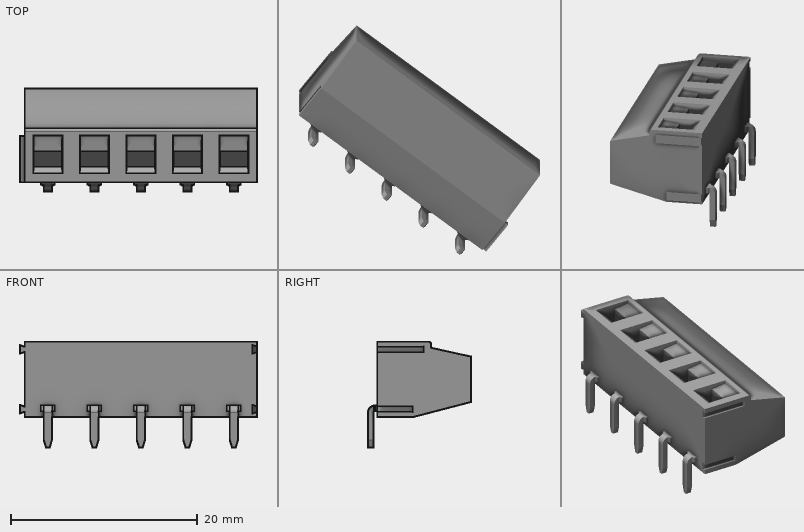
import cadquery as cq
import math


POLE_COUNT = 5
PITCH = 5.0
TOTAL_LENGTH = 25.5
TOTAL_DEPTH = 11.1
TOTAL_HEIGHT = 11.4
HOUSING_LENGTH = POLE_COUNT * PITCH
RAIL_DEPTH = TOTAL_LENGTH - HOUSING_LENGTH
POLE_CENTRES = [(i + 0.5) * PITCH for i in range(POLE_COUNT)]

HOUSING_DEPTH = 10.1
HOUSING_HEIGHT = 8.1
BASE_DEPTH = 3.93
REAR_BOTTOM = 1.6
REAR_TOP = 6.5
CROWN_DEPTH = 5.81
CROWN_FOOT = 7.45
CROWN_RADIUS = 0.3

RAIL_ROOT_WIDTH = 0.59
RAIL_TIP_WIDTH = 0.95
RAIL_EDGE_OFFSET = 0.85
LOWER_RAIL_LENGTH = 3.82
UPPER_RAIL_LENGTH = 5.0
RAILS = [
    (RAIL_EDGE_OFFSET, LOWER_RAIL_LENGTH),
    (HOUSING_HEIGHT - RAIL_EDGE_OFFSET, UPPER_RAIL_LENGTH),
]

MOUTH_WIDTH = 3.15
MOUTH_FRONT = 1.0
MOUTH_REAR = 5.07
MOUTH_DEPTH = 0.59
MOUTH_FLARE = 0.09
MOUTH_FRONT_SLOPE = 0.7
WELL_WIDTH = MOUTH_WIDTH - 2 * MOUTH_FLARE
WELL_FRONT = MOUTH_FRONT + MOUTH_FRONT_SLOPE
WELL_REAR = 3.37
WELL_FLOOR = HOUSING_HEIGHT / 2
LEDGE_FRONT_DEPTH = 0.55
LEDGE_SLOPE_ANGLE = 7.0

PIN_WIDTH = 0.92
PIN_THICKNESS = 0.6
PIN_TOP = 1.25
PIN_BOTTOM = HOUSING_HEIGHT - TOTAL_HEIGHT
PIN_FRONT = HOUSING_DEPTH - TOTAL_DEPTH
PIN_BACK = PIN_FRONT + PIN_THICKNESS
BEND_INNER_RADIUS = 0.15
BEND_OUTER_RADIUS = BEND_INNER_RADIUS + PIN_THICKNESS
BEND_Y = PIN_BACK + BEND_INNER_RADIUS
BEND_Z = PIN_TOP - BEND_OUTER_RADIUS
PIN_TAPER_HEIGHT = 0.85
PIN_TIP_WIDTH = 0.4
SHOULDER_WIDTH = 1.5
EMBED = 0.25


def make_housing():
    profile = [
        (0, 0),
        (BASE_DEPTH, 0),
        (HOUSING_DEPTH, REAR_BOTTOM),
        (HOUSING_DEPTH, REAR_TOP),
        (CROWN_DEPTH, CROWN_FOOT),
        (CROWN_DEPTH, HOUSING_HEIGHT),
        (0, HOUSING_HEIGHT),
    ]
    block = cq.Workplane("YZ").polyline(profile).close().extrude(HOUSING_LENGTH)
    crown_edge = cq.selectors.NearestToPointSelector((HOUSING_LENGTH / 2, CROWN_DEPTH, HOUSING_HEIGHT))
    return block.edges(crown_edge).fillet(CROWN_RADIUS)


def make_dovetail(root_x, centre_z, length):
    """Dovetail bar along Y, widening from root_x towards -X."""
    section = [
        (root_x, centre_z - RAIL_ROOT_WIDTH / 2),
        (root_x, centre_z + RAIL_ROOT_WIDTH / 2),
        (root_x - RAIL_DEPTH, centre_z + RAIL_TIP_WIDTH / 2),
        (root_x - RAIL_DEPTH, centre_z - RAIL_TIP_WIDTH / 2),
    ]
    return cq.Workplane("XZ").polyline(section).close().extrude(-length)


def make_pocket(centre_x):
    """Volume removed for one screw pocket."""
    mouth_rear_bottom = MOUTH_REAR - MOUTH_FLARE
    top_centre_y = (MOUTH_FRONT + MOUTH_REAR) / 2
    bottom_centre_y = (WELL_FRONT + mouth_rear_bottom) / 2
    top_face = cq.Workplane("XY", origin=(centre_x, top_centre_y, HOUSING_HEIGHT))
    mouth = (
        top_face.rect(MOUTH_WIDTH, MOUTH_REAR - MOUTH_FRONT)
        .workplane(offset=-MOUTH_DEPTH)
        .center(0, bottom_centre_y - top_centre_y)
        .rect(WELL_WIDTH, mouth_rear_bottom - WELL_FRONT)
        .loft(ruled=True)
    )
    ledge_rise = (MOUTH_REAR - WELL_REAR) * math.tan(math.radians(LEDGE_SLOPE_ANGLE))
    ledge_front_z = HOUSING_HEIGHT - LEDGE_FRONT_DEPTH
    open_profile = [
        (MOUTH_FRONT, HOUSING_HEIGHT),
        (MOUTH_FRONT, WELL_FLOOR),
        (WELL_REAR, WELL_FLOOR),
        (WELL_REAR, ledge_front_z),
        (MOUTH_REAR, ledge_front_z + ledge_rise),
        (MOUTH_REAR, HOUSING_HEIGHT),
    ]
    open_space = (
        cq.Workplane("YZ", origin=(centre_x, 0, 0))
        .polyline(open_profile)
        .close()
        .extrude(MOUTH_WIDTH / 2, both=True)
    )
    well_height = HOUSING_HEIGHT - MOUTH_DEPTH - WELL_FLOOR
    well = cq.Workplane("XY", origin=(centre_x, WELL_FRONT, WELL_FLOOR)).box(
        WELL_WIDTH, WELL_REAR - WELL_FRONT, well_height, centered=(True, False, False)
    )
    return mouth.intersect(open_space).union(well)


def make_pin(centre_x):
    """Bent pin with a pointed tip and a chamfered shoulder against the housing."""
    diagonal = math.sqrt(0.5)
    bar = (
        cq.Workplane("YZ", origin=(centre_x, 0, 0))
        .moveTo(EMBED, PIN_TOP)
        .lineTo(BEND_Y, PIN_TOP)
        .threePointArc(
            (BEND_Y - BEND_OUTER_RADIUS * diagonal, BEND_Z + BEND_OUTER_RADIUS * diagonal),
            (PIN_FRONT, BEND_Z),
        )
        .lineTo(PIN_FRONT, PIN_BOTTOM)
        .lineTo(PIN_BACK, PIN_BOTTOM)
        .lineTo(PIN_BACK, BEND_Z)
        .threePointArc(
            (BEND_Y - BEND_INNER_RADIUS * diagonal, BEND_Z + BEND_INNER_RADIUS * diagonal),
            (BEND_Y, PIN_TOP - PIN_THICKNESS),
        )
        .lineTo(EMBED, PIN_TOP - PIN_THICKNESS)
        .close()
        .extrude(PIN_WIDTH / 2, both=True)
    )
    taper_top = PIN_BOTTOM + PIN_TAPER_HEIGHT
    face_outline = [
        (-PIN_WIDTH / 2, PIN_TOP),
        (-PIN_WIDTH / 2, taper_top),
        (-PIN_TIP_WIDTH / 2, PIN_BOTTOM),
        (PIN_TIP_WIDTH / 2, PIN_BOTTOM),
        (PIN_WIDTH / 2, taper_top),
        (PIN_WIDTH / 2, PIN_TOP),
    ]
    envelope = (
        cq.Workplane("XZ", origin=(centre_x, PIN_FRONT, 0))
        .polyline(face_outline)
        .close()
        .extrude(PIN_FRONT - EMBED)
    )
    shoulder_outline = [
        (-SHOULDER_WIDTH / 2, EMBED),
        (-SHOULDER_WIDTH / 2, BEND_Y),
        (-PIN_WIDTH / 2, PIN_BACK),
        (PIN_WIDTH / 2, PIN_BACK),
        (SHOULDER_WIDTH / 2, BEND_Y),
        (SHOULDER_WIDTH / 2, EMBED),
    ]
    shoulder = (
        cq.Workplane("XY", origin=(centre_x, 0, PIN_TOP - PIN_THICKNESS))
        .polyline(shoulder_outline)
        .close()
        .extrude(PIN_THICKNESS)
    )
    side_wings = shoulder.cut(
        cq.Workplane("XY", origin=(centre_x, 0, 0)).box(PIN_WIDTH, HOUSING_DEPTH, HOUSING_HEIGHT)
    )
    return bar.intersect(envelope).union(side_wings)


result = make_housing()
for rail_z, rail_length in RAILS:
    result = result.union(make_dovetail(0, rail_z, rail_length))
    result = result.cut(make_dovetail(HOUSING_LENGTH, rail_z, rail_length))
for pole_x in POLE_CENTRES:
    result = result.cut(make_pocket(pole_x))
    result = result.union(make_pin(pole_x))